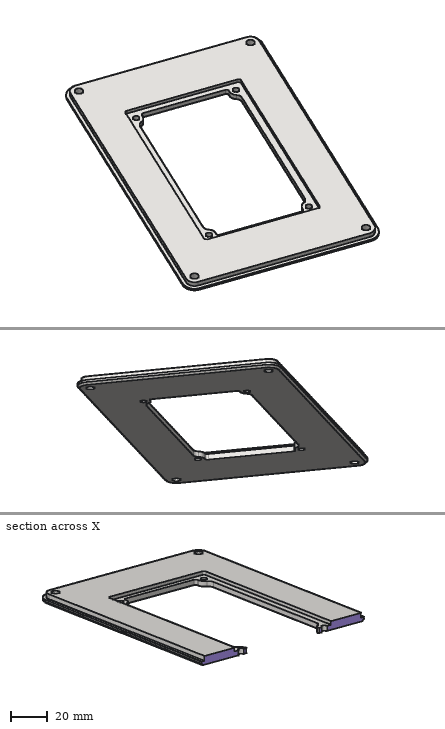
import cadquery as cq

length = 177.1
width = 115.8
height = 5.3
corner_radius = 7.0
lip_inset = 2.1
flange_top = 2.5
bottom_chamfer = 1.2

mount_hole_diameter = 4.6
mount_x = length / 2 - corner_radius
mount_y = width / 2 - corner_radius

recess_length = 113.3
recess_width = 68.4
recess_depth = 2.1
recess_corner_radius = 1.5

window_length = 107.1
window_width = 60.2
boss_radius = 4.5
boss_fillet = 3.5
window_end_fillet = 1.5
screw_hole_diameter = 3.5
screw_x = 51.4
screw_y = 29.5


def rounded_block(size_x, size_y, bottom, top, radius):
    """Centred block between two heights with rounded vertical corners."""
    block = cq.Workplane("XY").workplane(offset=bottom).rect(size_x, size_y).extrude(top - bottom)
    return block.edges("|Z").fillet(radius)


def corner_points(x, y):
    """Four points mirrored about both centre lines."""
    return [(side_x * x, side_y * y) for side_x in (-1, 1) for side_y in (-1, 1)]


def through_holes(x, y, diameter):
    """Cutters for four through holes."""
    return cq.Workplane("XY").pushPoints(corner_points(x, y)).circle(diameter / 2).extrude(height)


def screw_boss(x, y):
    """Round boss joined to the nearby end wall of the window."""
    outward = 1 if x > 0 else -1
    seam_angle = 0 if x > 0 else 180
    boss = cq.Workplane("XY").circle(boss_radius).extrude(height)
    boss = boss.rotate((0, 0, 0), (0, 0, 1), seam_angle).translate((x, y, 0))
    web = cq.Workplane("XY").center(x + outward * boss_radius, y)
    return boss.union(web.rect(2 * boss_radius, 2 * boss_radius).extrude(height))


def window_cutter():
    """Window opening with its corners kept solid around the screw holes."""
    opening = cq.Workplane("XY").rect(window_length, window_width).extrude(height)
    for x, y in corner_points(screw_x, window_width / 2):
        opening = opening.cut(screw_boss(x, y))
    opening = opening.faces("<X or >X").edges("|Z").fillet(window_end_fillet)
    return opening.faces("<Y or >Y").edges("|Z").fillet(boss_fillet)


flange = rounded_block(length, width, 0, flange_top, corner_radius)
flange = flange.faces("<Z").edges().chamfer(bottom_chamfer)

body = rounded_block(
    length - 2 * lip_inset,
    width - 2 * lip_inset,
    flange_top,
    height,
    corner_radius - lip_inset,
)

recess = rounded_block(recess_length, recess_width, height - recess_depth, height, recess_corner_radius)

result = (
    flange.union(body)
    .cut(recess)
    .cut(window_cutter())
    .cut(through_holes(mount_x, mount_y, mount_hole_diameter))
    .cut(through_holes(screw_x, screw_y, screw_hole_diameter))
)